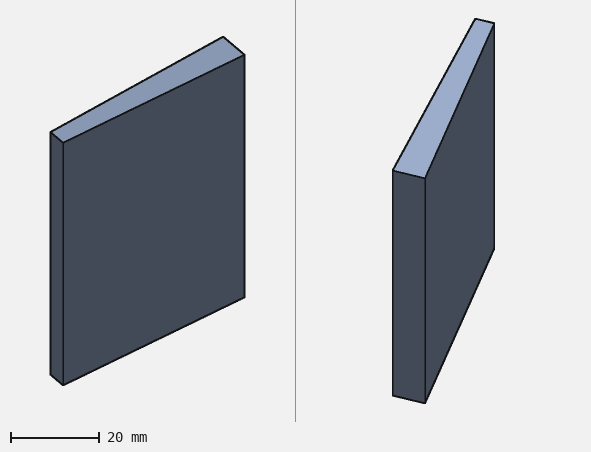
import cadquery as cq

height = 74.7
width = 50.0
thick_end = 7.7
thin_end = 4.55

wedge_outline = [
    (0, 0),
    (thin_end, 0),
    (thick_end, width),
    (0, width),
]

result = cq.Workplane("XY").polyline(wedge_outline).close().extrude(height)